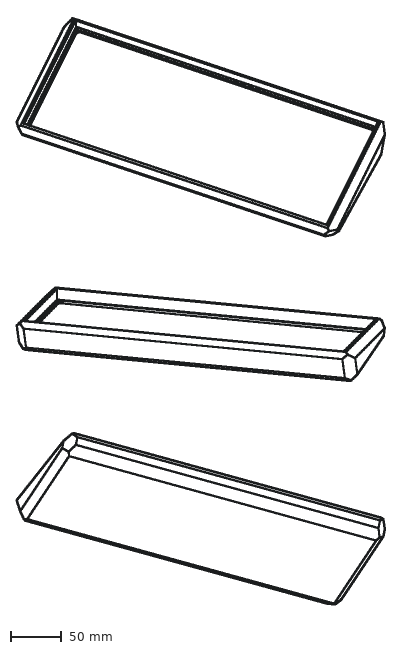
import cadquery as cq
import math

length = 344.0
depth = 141.0
height = 37.0
edge_chamfer = 7.5
corner_chamfer = 10.0

top_tilt = math.radians(7)
back_angle = math.radians(67)
front_angle = math.radians(60)

side_rim_width = 2.5
tray_length = length - 2 * (edge_chamfer + side_rim_width)
tray_front_y = -63.5
tray_back_y = 64.5
tray_depth = 11.7

ledge_width = 2.0
seat_length = tray_length - 2 * ledge_width
seat_width = 125.5
seat_depth = 0.7
pocket_depth = 2.0
pocket_corner_radius = 4.5

back_top_y = depth / 2 + edge_chamfer * math.cos(back_angle)
back_top_z = height + edge_chamfer * math.sin(top_tilt)
front_top_y = -depth / 2 - edge_chamfer * math.cos(front_angle)
front_top_z = back_top_z - (back_top_y - front_top_y) * math.tan(top_tilt)
back_bottom_y = back_top_y - back_top_z / math.tan(back_angle)
front_bottom_y = front_top_y + front_top_z / math.tan(front_angle)

top_plane = cq.Plane(
    origin=(0, (back_top_y + front_top_y) / 2, (back_top_z + front_top_z) / 2),
    xDir=(1, 0, 0),
    normal=(0, -math.sin(top_tilt), math.cos(top_tilt)),
)


def make_body():
    """Wedge prism with every outer edge chamfered."""
    profile = [
        (front_bottom_y, 0),
        (back_bottom_y, 0),
        (back_top_y, back_top_z),
        (front_top_y, front_top_z),
    ]
    prism = cq.Workplane("YZ").polyline(profile).close().extrude(length / 2, both=True)
    body = prism.edges("|X").chamfer(edge_chamfer)
    top_direction = cq.Vector(0, math.cos(top_tilt), math.sin(top_tilt))
    back_direction = cq.Vector(0, math.cos(back_angle), math.sin(back_angle))
    front_direction = cq.Vector(0, -math.cos(front_angle), math.sin(front_angle))
    end_bevels = [
        (cq.Vector(0, 1, 0), edge_chamfer),
        (top_direction, edge_chamfer),
        (back_direction, corner_chamfer),
        (front_direction, corner_chamfer),
    ]
    for direction, size in end_bevels:
        edges = prism.edges(cq.selectors.ParallelDirSelector(direction))
        body = body.intersect(edges.chamfer(size))
    return body


def top_face_z(y):
    """Height of the tilted top face at a given Y."""
    return back_top_z - (back_top_y - y) * math.tan(top_tilt)


def make_tray():
    """Opening with a tilted floor, its side profile carried above the body."""
    normal_y = -math.sin(top_tilt)
    normal_z = math.cos(top_tilt)
    back_z = top_face_z(tray_back_y)
    profile = [
        (tray_front_y, top_face_z(tray_front_y) - tray_depth / math.cos(top_tilt)),
        (tray_back_y - tray_depth * normal_y, back_z - tray_depth * normal_z),
        (tray_back_y + height * normal_y, back_z + height * normal_z),
        (tray_front_y, 2 * height),
    ]
    return cq.Workplane("YZ").polyline(profile).close().extrude(tray_length / 2, both=True)


def make_floor_recess(recess_depth):
    """Square-cornered block sunk into the tray floor, square to the tilted top face."""
    return (
        cq.Workplane(top_plane)
        .workplane(offset=-tray_depth)
        .rect(seat_length, seat_width)
        .extrude(-recess_depth)
    )


seat = make_floor_recess(seat_depth)
pocket = make_floor_recess(seat_depth + pocket_depth)
pocket = pocket.edges(cq.selectors.ParallelDirSelector(top_plane.zDir)).fillet(pocket_corner_radius)

result = make_body().cut(make_tray()).cut(seat).cut(pocket)